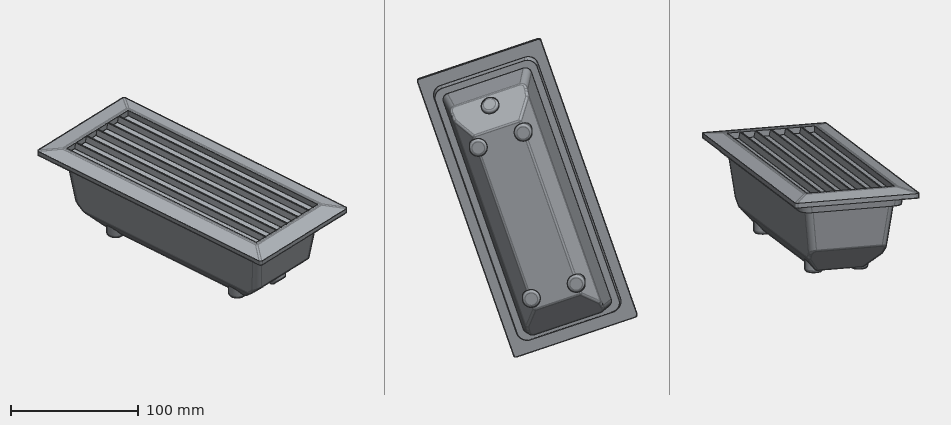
import cadquery as cq
import math

LENGTH = 235.0
WIDTH = 102.0
HEIGHT = 73.0

BASE_Z = 2.8
STEP_Z = 58.8
RIM_Z = 66.5
BEVEL_Z = 70.3

BEVEL_RUN_X = 15.7
BEVEL_RUN_Y = 13.0
BEVEL_EDGE_RADIUS = 7.0
RIM_CORNER_RADIUS = 1.9

SLOT_COUNT = 6
SLOT_LENGTH = 199.0
GRILLE_WIDTH = 72.0
SLOT_DEPTH = 5.0
RIB_TOP = 1.0
RIB_BASE = 3.3

DRAFT = 7.2
STEP_LENGTH = 214.8
STEP_WIDTH = 86.0
STEP_CORNER_RADIUS = 8.2
BOX_LENGTH = 202.0
BOX_WIDTH = 72.8
BOX_CORNER_RADIUS = 5.2

BASE_LENGTH = 147.0
BASE_WIDTH = 39.0
END_SLOPE = 43.5
SIDE_SLOPE = 50.5
SLOPE_TOP_Z = 28.2
SLOPE_EDGE_RADIUS = 2.4

FOOT_RADIUS = 7.0
FOOT_EDGE_RADIUS = 2.0
FOOT_X = 64.0
FOOT_Y = 18.5
FOOT_ROOT = 16.0
PAD_HEIGHT = 2.8
PAD_Z = 17.6
PAD_ROOT = 4.7


def tapered_block(length, width, top_z, bottom_z, corner_radius):
    """Block that narrows downwards at the draft angle, with rounded corners."""
    block = (
        cq.Workplane("XY", origin=(0, 0, top_z))
        .rect(length, width)
        .extrude(bottom_z - top_z, taper=DRAFT)
    )
    return block.edges("not #Z").fillet(corner_radius)


def make_rim():
    plate = cq.Workplane("XY", origin=(0, 0, RIM_Z)).rect(LENGTH, WIDTH).extrude(BEVEL_Z - RIM_Z)
    bevel = (
        cq.Workplane("XY", origin=(0, 0, BEVEL_Z))
        .rect(LENGTH, WIDTH)
        .workplane(offset=HEIGHT - BEVEL_Z)
        .rect(LENGTH - 2 * BEVEL_RUN_X, WIDTH - 2 * BEVEL_RUN_Y)
        .loft(ruled=True)
    )
    bevel = bevel.edges("not <Z").fillet(BEVEL_EDGE_RADIUS)
    outline = (
        cq.Workplane("XY", origin=(0, 0, RIM_Z))
        .rect(LENGTH, WIDTH)
        .extrude(HEIGHT - RIM_Z)
        .edges("|Z")
        .fillet(RIM_CORNER_RADIUS)
    )
    return plate.union(bevel).intersect(outline)


def make_slots():
    """One long pocket, less the tapered ribs that split its floor into equal slots."""
    floor_z = HEIGHT - SLOT_DEPTH
    slots = cq.Workplane("XY", origin=(0, 0, floor_z)).rect(SLOT_LENGTH, GRILLE_WIDTH).extrude(SLOT_DEPTH)
    pitch = (GRILLE_WIDTH + RIB_BASE) / SLOT_COUNT
    for index in range(1, SLOT_COUNT):
        rib_y = pitch * (index - SLOT_COUNT / 2)
        rib = (
            cq.Workplane("YZ", origin=(-SLOT_LENGTH / 2, rib_y, 0))
            .moveTo(-RIB_BASE / 2, floor_z)
            .lineTo(RIB_BASE / 2, floor_z)
            .lineTo(RIB_TOP / 2, HEIGHT)
            .lineTo(-RIB_TOP / 2, HEIGHT)
            .close()
            .extrude(SLOT_LENGTH)
        )
        slots = slots.cut(rib)
    return slots


def slope_envelope(plane, base_size, slope, depth):
    """Prism whose two lower sides rise outwards from the base at the slope angle."""
    rise = STEP_Z - BASE_Z
    half_base = base_size / 2
    half_top = half_base + rise / math.tan(math.radians(slope))
    return (
        cq.Workplane(plane)
        .moveTo(-half_base, BASE_Z)
        .lineTo(half_base, BASE_Z)
        .lineTo(half_top, STEP_Z)
        .lineTo(-half_top, STEP_Z)
        .close()
        .extrude(depth / 2, both=True)
    )


def make_box():
    box = tapered_block(BOX_LENGTH, BOX_WIDTH, STEP_Z, BASE_Z, BOX_CORNER_RADIUS)
    box = box.intersect(slope_envelope("XZ", BASE_LENGTH, END_SLOPE, WIDTH))
    box = box.intersect(slope_envelope("YZ", BASE_WIDTH, SIDE_SLOPE, LENGTH))
    lower_edges = [edge for edge in box.edges().vals() if edge.BoundingBox().zmax < SLOPE_TOP_Z]
    return box.newObject(lower_edges).fillet(SLOPE_EDGE_RADIUS)


def make_foot(root, height):
    """Round foot pointing along -Z, its tip at the origin."""
    foot = cq.Workplane("XY").circle(FOOT_RADIUS).extrude(root + height)
    return foot.faces("<Z").edges().fillet(FOOT_EDGE_RADIUS)


def make_pad():
    """Foot turned to stand square on the +X sloping face."""
    centre_x = BASE_LENGTH / 2 + (PAD_Z - BASE_Z) / math.tan(math.radians(END_SLOPE))
    pad = make_foot(PAD_ROOT, PAD_HEIGHT).translate((0, 0, -PAD_HEIGHT))
    pad = pad.rotate((0, 0, 0), (0, 1, 0), -END_SLOPE)
    return pad.translate((centre_x, 0, PAD_Z))


step = tapered_block(STEP_LENGTH, STEP_WIDTH, RIM_Z, STEP_Z, STEP_CORNER_RADIUS)
result = make_rim().union(step).union(make_box()).union(make_pad()).cut(make_slots())
for side_x in (-1, 1):
    for side_y in (-1, 1):
        foot = make_foot(FOOT_ROOT, BASE_Z)
        result = result.union(foot.translate((side_x * FOOT_X, side_y * FOOT_Y, 0)))